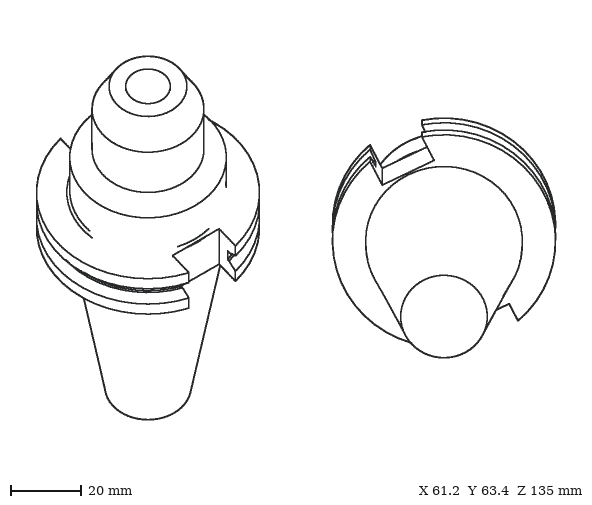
import cadquery as cq

total_length = 135.0

gauge_radius = 22.3
shank_length = 68.3
taper_ratio = 7 / 24
shank_end_radius = gauge_radius - shank_length * taper_ratio / 2
shank_collar_height = 3.1

flange_radius = 31.7
flange_thickness = 16.0
flange_bottom = shank_length + shank_collar_height
flange_top = flange_bottom + flange_thickness
flange_middle = (flange_bottom + flange_top) / 2
groove_floor_radius = 28.1
groove_step_radius = 28.8
groove_floor_width = 3.8
groove_mouth_width = 6.9

body_radius = gauge_radius
body_height = 15.8
body_top = flange_top + body_height
root_fillet_radius = 0.8
neck_radius = 16.0
shoulder_height = 3.6
neck_bottom = body_top + shoulder_height
nose_tip_radius = 11.1
nose_height = 10.1
nose_bottom = total_length - nose_height

bore_radius = 6.3
bore_depth = total_length - flange_top

slot_width = 16.5
left_slot_floor = 25.0
right_slot_floor = 22.8

slot_hole_radius = 4.9
slot_hole_depth = 4.6


def turned_blank():
    """Solid of revolution holding the shank, flange, body and nose."""
    profile = (
        cq.Workplane("XZ")
        .lineTo(shank_end_radius, 0)
        .lineTo(gauge_radius, shank_length)
        .lineTo(gauge_radius, flange_bottom)
        .lineTo(flange_radius, flange_bottom)
        .lineTo(flange_radius, flange_middle - groove_mouth_width / 2)
        .lineTo(groove_step_radius, flange_middle - groove_floor_width / 2)
        .lineTo(groove_floor_radius, flange_middle - groove_floor_width / 2)
        .lineTo(groove_floor_radius, flange_middle + groove_floor_width / 2)
        .lineTo(groove_step_radius, flange_middle + groove_floor_width / 2)
        .lineTo(flange_radius, flange_middle + groove_mouth_width / 2)
        .lineTo(flange_radius, flange_top)
        .lineTo(body_radius + root_fillet_radius, flange_top)
        .radiusArc((body_radius, flange_top + root_fillet_radius), root_fillet_radius)
        .lineTo(body_radius, body_top)
        .lineTo(neck_radius, neck_bottom)
        .lineTo(neck_radius, nose_bottom)
        .lineTo(nose_tip_radius, total_length)
        .lineTo(0, total_length)
        .close()
    )
    return profile.revolve(360, (0, 0, 0), (0, 1, 0))


def tool_bore():
    """Blind bore going down from the nose tip."""
    return cq.Workplane("XY").workplane(offset=total_length).circle(bore_radius).extrude(-bore_depth)


def drive_slot(side, floor_distance):
    """Square slot through the flange on the +X (side = 1) or -X (side = -1) side."""
    slot_depth = flange_radius - floor_distance
    slot_center = side * (floor_distance + slot_depth / 2)
    return (
        cq.Workplane("XY")
        .box(slot_depth, slot_width, flange_thickness)
        .translate((slot_center, 0, flange_middle))
    )


def slot_hole():
    """Round hole going toward the axis from the floor of the left slot."""
    return (
        cq.Workplane("YZ", origin=(-left_slot_floor, 0, flange_middle))
        .circle(slot_hole_radius)
        .extrude(slot_hole_depth)
    )


result = (
    turned_blank()
    .cut(tool_bore())
    .cut(drive_slot(-1, left_slot_floor))
    .cut(drive_slot(1, right_slot_floor))
    .cut(slot_hole())
)